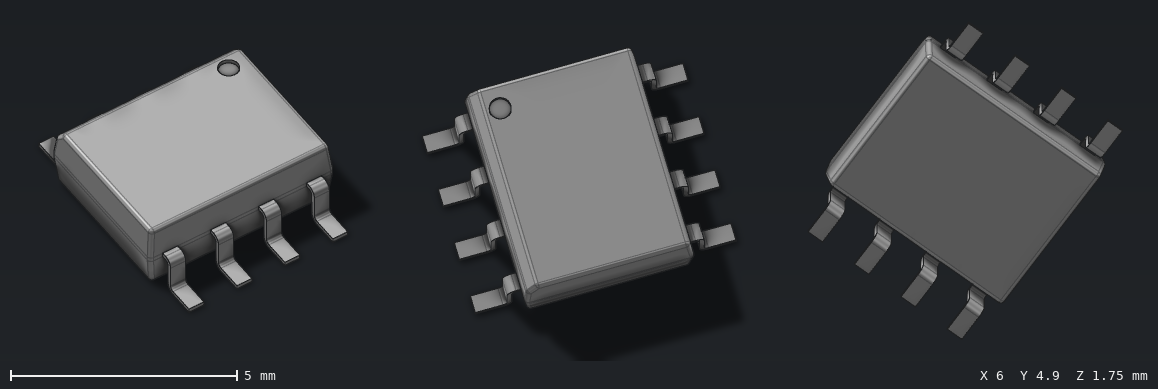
import cadquery as cq

overall_length = 6.0
overall_height = 1.75

housing_length = 3.9
housing_width = 4.9
standoff = 0.1
draft_angle = 6.0
edge_radius = 0.1
bevel_leg = 0.3

marker_diameter = 0.485
marker_depth = 0.1
marker_x = -1.295
marker_y = 1.8

leads_per_side = 4
lead_pitch = 1.27
lead_width = 0.4
lead_thickness = 0.11
lead_outer_x = 2.27
inner_bend_radius = 0.095

shoulder_bottom = overall_height / 2
shoulder_top = shoulder_bottom + lead_thickness

band_bottom = shoulder_bottom
band_top = shoulder_top
band_height = band_top - band_bottom


def make_housing():
    """Moulded housing: a straight band with a drafted half above and below it."""
    footprint = (housing_length, housing_width)
    upper_height = overall_height - band_top
    lower_height = band_bottom - standoff

    band = cq.Workplane("XY").workplane(offset=band_bottom).rect(*footprint).extrude(band_height)
    upper = (
        cq.Workplane("XY").workplane(offset=band_top)
        .rect(*footprint).extrude(upper_height, taper=draft_angle)
    )
    lower = (
        cq.Workplane("XY").workplane(offset=band_bottom)
        .rect(*footprint).extrude(-lower_height, taper=draft_angle)
    )
    housing = band.union(upper).union(lower)

    outer_x = -housing_length / 2
    bevel = (
        cq.Workplane("XZ")
        .moveTo(outer_x, overall_height)
        .lineTo(outer_x + bevel_leg, overall_height)
        .lineTo(outer_x, overall_height - bevel_leg)
        .close()
        .extrude(housing_width / 2, both=True)
    )
    housing = housing.cut(bevel)

    band_outlines = cq.selectors.BoxSelector(
        (-housing_length, -housing_width, band_bottom - band_height / 4),
        (housing_length, housing_width, band_top + band_height / 4),
        boundingbox=True,
    )
    flat_band_edges = cq.selectors.AndSelector(band_outlines, cq.StringSyntaxSelector("#Z"))
    rounded_edges = cq.selectors.InverseSelector(flat_band_edges)
    housing = housing.edges(rounded_edges).fillet(edge_radius)

    marker = (
        cq.Workplane("XY").workplane(offset=overall_height - marker_depth)
        .center(marker_x, marker_y)
        .circle(marker_diameter / 2).extrude(marker_depth)
    )
    return housing.cut(marker)


def make_lead(y, side):
    """One gull-wing lead centred at y; side is -1 for the -X row and +1 for the +X row."""
    root_x = side * housing_length / 2
    tip_x = side * overall_length / 2
    outer_x = side * lead_outer_x
    inner_x = side * (lead_outer_x - lead_thickness)
    outer_bend_radius = inner_bend_radius + lead_thickness

    lead = (
        cq.Workplane("XZ", origin=(0, y + lead_width / 2, 0))
        .moveTo(root_x, shoulder_top)
        .lineTo(outer_x, shoulder_top)
        .lineTo(outer_x, lead_thickness)
        .lineTo(tip_x, lead_thickness)
        .lineTo(tip_x, 0)
        .lineTo(inner_x, 0)
        .lineTo(inner_x, shoulder_bottom)
        .lineTo(root_x, shoulder_bottom)
        .close()
        .extrude(lead_width)
    )

    def bend_edge(x, z):
        return cq.selectors.NearestToPointSelector((x, y, z))

    lead = lead.edges("|Y").edges(bend_edge(outer_x, shoulder_top)).fillet(outer_bend_radius)
    lead = lead.edges("|Y").edges(bend_edge(inner_x, shoulder_bottom)).fillet(inner_bend_radius)
    lead = lead.edges("|Y").edges(bend_edge(outer_x, lead_thickness)).fillet(inner_bend_radius)
    return lead.edges("|Y").edges(bend_edge(inner_x, 0)).fillet(outer_bend_radius)


housing = make_housing()

first_lead_y = -lead_pitch * (leads_per_side - 1) / 2
leads = []
for side in (-1, 1):
    for row in range(leads_per_side):
        leads.append(make_lead(first_lead_y + row * lead_pitch, side).val())

result = cq.Compound.makeCompound([housing.val(), *leads])